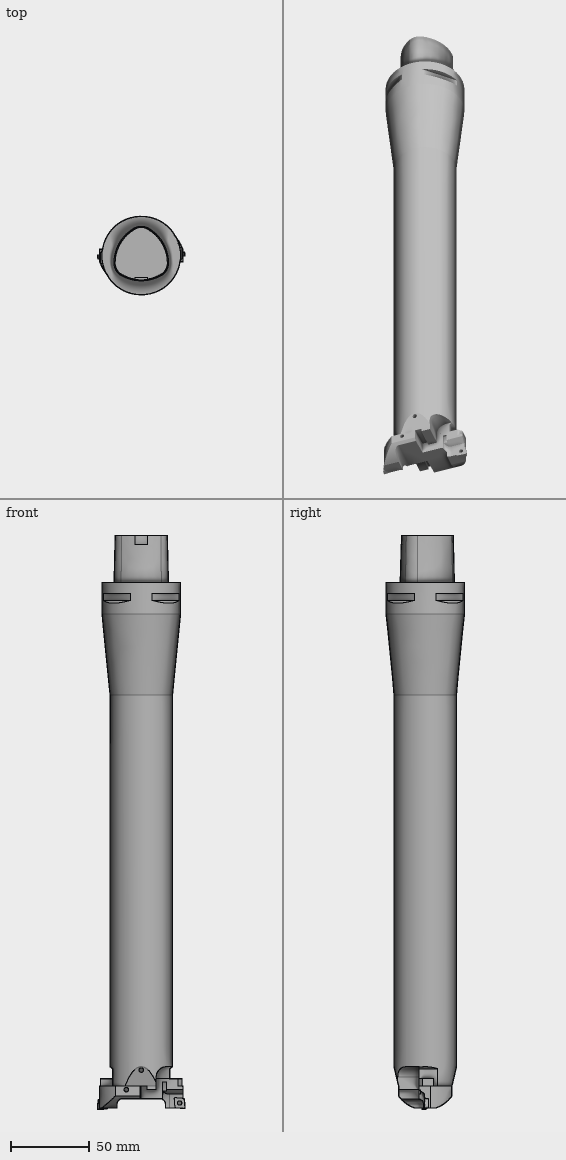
import cadquery as cq
import math


total_height = 366.0
shoulder_z = 336.0
flange_bottom_z = 316.0
cone_bottom_z = 264.3
bar_bottom_z = 15.0

flange_diameter = 50.0
bar_diameter = 40.0
flange_radius = flange_diameter / 2
bar_radius = bar_diameter / 2

lobe_count = 3
lobe_reach = 18.5
flank_reach = 16.0
shank_taper = 1.4
keyway_width = 8.0
keyway_height = 6.0
keyway_floor_y = -14.0

slot_count = 4
slot_top_z = 329.0
slot_back_height = 4.5
slot_mouth_height = 6.2
slot_floor_radius = 22.0

relief_top_z = 27.5
side_flat_x = 18.1
side_flat_rear_y = 7.7
side_flat_runout = 1.5
gullet_wall_x = 9.5
gullet_rear_y = -4.0
gullet_corner_radius = 6.5
lip_start_x = 3.5
lip_bottom_z = 12.8
coolant_diameter = 2.8
coolant_depth = 5.5
bar_coolant_z = 25.3

half_depth = 17.02
cartridge_top_z = 19.8
cartridge_bottom_z = 1.0
parting_x = 0.7
parting_slope = parting_x / half_depth
outer_x = 26.7
outer_start_y = 3.3
outer_end_x = 16.5
outer_mid_point = (22.7, 11.0)
key_outer_x = 26.0
key_rear_y = 5.0
key_bevel_width = 2.5
key_bevel_depth = 2.2
underside_z = 7.0
foot_inner_x = 15.5
foot_corner_radius = 3.3
belly_start_z = 8.8
belly_half_width = 7.0
belly_mid_point = (12.8, 4.5)
chip_wall_x = 13.5
chip_roof_outer_z = 12.8
chip_roof_inner_z = 10.0
chip_corner_radius = 4.5
chip_notch_width = 2.5
chip_notch_depth = 1.0
chip_notch_top_z = 17.5
nozzle_x = 9.5
nozzle_z = 12.8
nozzle_depth = 3.5

insert_edge = 6.5
insert_thickness = 2.5
insert_corner_angle = 80
insert_corner_radius = 0.7
insert_hole_diameter = 2.8
insert_clearance = 7
insert_face_y = -0.5
insert_tip_x = 28.0
lower_tip_z = 0.0
upper_tip_z = 0.7
edge_lean = math.radians((90 - insert_corner_angle) / 2)
insert_span = insert_edge * (math.cos(edge_lean) + math.sin(edge_lean))

overcut = 36.5


def box(x_range, y_range, z_range):
    size = [high - low for low, high in (x_range, y_range, z_range)]
    corner = (x_range[0], y_range[0], z_range[0])
    return cq.Workplane("XY").box(*size, centered=False).translate(corner)


def half_turn(body):
    """Rotate a body to the opposite side of the bar axis."""
    return body.rotate((0, 0, 0), (0, 0, 1), 180)


def polar(radius, degrees, center=(0, 0)):
    angle = math.radians(degrees)
    return center[0] + radius * math.cos(angle), center[1] + radius * math.sin(angle)


def make_shank():
    """Rounded three-lobed prism: lobe and flank arcs of 60 degrees share the same three centers."""
    center_distance = (lobe_reach - flank_reach) / (2 - math.sqrt(3))
    lobe_radius = lobe_reach - center_distance
    flank_radius = flank_reach + center_distance
    half_arc = 180 / (2 * lobe_count)

    outline = cq.Workplane("XY", origin=(0, 0, shoulder_z))
    outline = outline.moveTo(*polar(lobe_radius, 90 - half_arc, polar(center_distance, 90)))
    for i in range(lobe_count):
        lobe_angle = 90 + i * 360 / lobe_count
        flank_angle = lobe_angle + 180 / lobe_count
        lobe_center = polar(center_distance, lobe_angle)
        flank_center = polar(center_distance, flank_angle + 180)
        outline = outline.threePointArc(
            polar(lobe_radius, lobe_angle, lobe_center),
            polar(lobe_radius, lobe_angle + half_arc, lobe_center),
        ).threePointArc(
            polar(flank_radius, flank_angle, flank_center),
            polar(flank_radius, flank_angle + half_arc, flank_center),
        )
    shank = outline.close().extrude(total_height - shoulder_z, taper=shank_taper)
    keyway = box(
        (-keyway_width / 2, keyway_width / 2),
        (keyway_floor_y - overcut, keyway_floor_y),
        (total_height - keyway_height, total_height + overcut),
    )
    return shank.cut(keyway)


def make_turned_bar():
    return (
        cq.Workplane("XZ")
        .moveTo(0, bar_bottom_z)
        .lineTo(bar_radius, bar_bottom_z)
        .lineTo(bar_radius, cone_bottom_z)
        .lineTo(flange_radius, flange_bottom_z)
        .lineTo(flange_radius, shoulder_z)
        .lineTo(0, shoulder_z)
        .close()
        .revolve(360, (0, 0, 0), (0, 1, 0))
    )


def gripper_slot():
    """Slot on the +X side with a flat back and a floor that falls outward."""
    back_bottom = slot_top_z - slot_back_height
    mouth_bottom = slot_top_z - slot_mouth_height
    profile = [
        (slot_floor_radius, slot_top_z),
        (slot_floor_radius, back_bottom),
        (flange_radius, mouth_bottom),
        (flange_radius, slot_top_z),
    ]
    return cq.Workplane("XZ").polyline(profile).close().extrude(overcut, both=True)


def side_flat():
    """Flat on the +X side whose upper end slopes out to the bar surface."""
    profile = [
        (side_flat_x, 0),
        (side_flat_x, relief_top_z - side_flat_runout),
        (bar_radius, relief_top_z),
        (bar_radius, 0),
    ]
    return (
        cq.Workplane("XZ", origin=(0, gullet_rear_y, 0))
        .polyline(profile)
        .close()
        .extrude(gullet_rear_y - side_flat_rear_y)
    )


def bar_gullet():
    """Chip space on the +X, -Y corner with a rounded upper inner corner."""
    gullet = box(
        (gullet_wall_x, overcut),
        (-overcut, gullet_rear_y),
        (0, relief_top_z),
    )
    return gullet.edges("|Y and >Z and <X").fillet(gullet_corner_radius)


def end_bevel():
    """Sloping flat on the -Y side, running in from the bar surface to the cartridge depth."""
    profile = [
        (-bar_radius, relief_top_z),
        (-half_depth, bar_bottom_z),
        (-half_depth, 0),
        (-overcut, 0),
        (-overcut, relief_top_z),
    ]
    return cq.Workplane("YZ").polyline(profile).close().extrude(overcut, both=True)


def front_hole(x, z, floor_y):
    """Blind coolant hole entering from -Y."""
    return (
        cq.Workplane("XZ", origin=(x, floor_y, z))
        .circle(coolant_diameter / 2)
        .extrude(overcut)
    )


def front_lip():
    """Small lip of the bar hanging in front of the +X cartridge."""
    return box(
        (lip_start_x, gullet_wall_x),
        (-half_depth, gullet_rear_y),
        (lip_bottom_z, bar_bottom_z),
    )


def make_bar():
    bar = make_turned_bar().union(make_shank())
    for i in range(slot_count):
        angle = 45 + i * 360 / slot_count
        bar = bar.cut(gripper_slot().rotate((0, 0, 0), (0, 0, 1), angle))
    coolant_hole = front_hole(0, bar_coolant_z, coolant_depth - bar_radius)
    for cutter in (side_flat(), bar_gullet(), end_bevel(), coolant_hole, key_block()):
        bar = bar.cut(cutter).cut(half_turn(cutter))
    return bar.union(front_lip()).union(half_turn(front_lip()))


def key_block():
    """Upper part of the cartridge that is let into the bar."""
    return (
        cq.Workplane("XY", origin=(0, 0, bar_bottom_z))
        .moveTo(gullet_wall_x, gullet_rear_y)
        .lineTo(key_outer_x - key_bevel_width, gullet_rear_y)
        .lineTo(key_outer_x, gullet_rear_y + key_bevel_depth)
        .lineTo(key_outer_x, key_rear_y)
        .lineTo(gullet_wall_x, key_rear_y)
        .close()
        .extrude(cartridge_top_z - bar_bottom_z)
    )


def cartridge_base():
    """Lower part of the +X cartridge; the two cartridges meet on a slanted plane through the axis."""
    return (
        cq.Workplane("XY", origin=(0, 0, cartridge_bottom_z))
        .moveTo(parting_slope * gullet_rear_y, gullet_rear_y)
        .lineTo(outer_x, gullet_rear_y)
        .lineTo(outer_x, outer_start_y)
        .threePointArc(outer_mid_point, (outer_end_x, half_depth))
        .lineTo(parting_x, half_depth)
        .close()
        .extrude(bar_bottom_z - cartridge_bottom_z)
    )


def belly_envelope():
    """Side profile of the cartridge: straight flanks rounding in to a narrow flat bottom."""
    mid_y, mid_z = belly_mid_point
    return (
        cq.Workplane("YZ")
        .moveTo(-half_depth, cartridge_top_z)
        .lineTo(-half_depth, belly_start_z)
        .threePointArc((-mid_y, mid_z), (-belly_half_width, cartridge_bottom_z))
        .lineTo(belly_half_width, cartridge_bottom_z)
        .threePointArc((mid_y, mid_z), (half_depth, belly_start_z))
        .lineTo(half_depth, cartridge_top_z)
        .close()
        .extrude(overcut, both=True)
    )


def underside_relief():
    relief = box(
        (-overcut, foot_inner_x),
        (-overcut, overcut),
        (-overcut, underside_z),
    )
    return relief.edges("|Y and >X and >Z").fillet(foot_corner_radius)


def chip_space():
    """Space in front of the insert: a sloping roof and a rounded inner corner."""
    profile = [
        (-overcut, 0),
        (insert_face_y, 0),
        (insert_face_y, chip_roof_inner_z),
        (gullet_rear_y, chip_roof_outer_z),
        (-overcut, chip_roof_outer_z),
    ]
    space = (
        cq.Workplane("YZ", origin=(chip_wall_x, 0, 0))
        .polyline(profile)
        .close()
        .extrude(overcut)
    )
    return space.edges("|Z and <X and >Y").fillet(chip_corner_radius)


def chip_notch():
    """Shallow notch above the inner end of the chip space."""
    return box(
        (chip_wall_x, chip_wall_x + chip_notch_width),
        (-overcut, gullet_rear_y + chip_notch_depth),
        (chip_roof_inner_z, chip_notch_top_z),
    )


def insert_blank(tip_z):
    """Insert without its hole, in the +X position, its rounded corner reaching the tip position."""
    half_corner = math.radians(insert_corner_angle / 2)
    corner_loss = insert_corner_radius * (math.sqrt(0.5) / math.sin(half_corner) - 1)
    long_step = insert_edge * math.cos(edge_lean)
    short_step = insert_edge * math.sin(edge_lean)
    outline = [
        (0, 0),
        (-short_step, long_step),
        (-short_step - long_step, short_step + long_step),
        (-long_step, short_step),
    ]
    return (
        cq.Workplane("XZ")
        .polyline(outline)
        .close()
        .extrude(-insert_thickness, taper=insert_clearance)
        .edges("not #Y")
        .fillet(insert_corner_radius)
        .translate((insert_tip_x + corner_loss, insert_face_y, tip_z - corner_loss))
    )


def make_insert(tip_z):
    middle = insert_span / 2
    hole = (
        cq.Workplane("XZ", origin=(insert_tip_x - middle, insert_face_y, tip_z + middle))
        .circle(insert_hole_diameter / 2)
        .extrude(-insert_thickness)
    )
    return insert_blank(tip_z).cut(hole)


def make_cartridge(tip_z):
    nozzle = half_turn(front_hole(-nozzle_x, nozzle_z, nozzle_depth - half_depth))
    return (
        cartridge_base()
        .union(key_block())
        .intersect(belly_envelope())
        .cut(underside_relief())
        .cut(chip_space())
        .cut(chip_notch())
        .cut(insert_blank(tip_z))
        .cut(nozzle)
    )


bar = make_bar()
bodies = [bar.solids().val()]
for tip_z, turned in ((upper_tip_z, False), (lower_tip_z, True)):
    for body in (make_cartridge(tip_z), make_insert(tip_z)):
        placed = half_turn(body) if turned else body
        bodies.append(placed.solids().val())

result = cq.Compound.makeCompound(bodies)